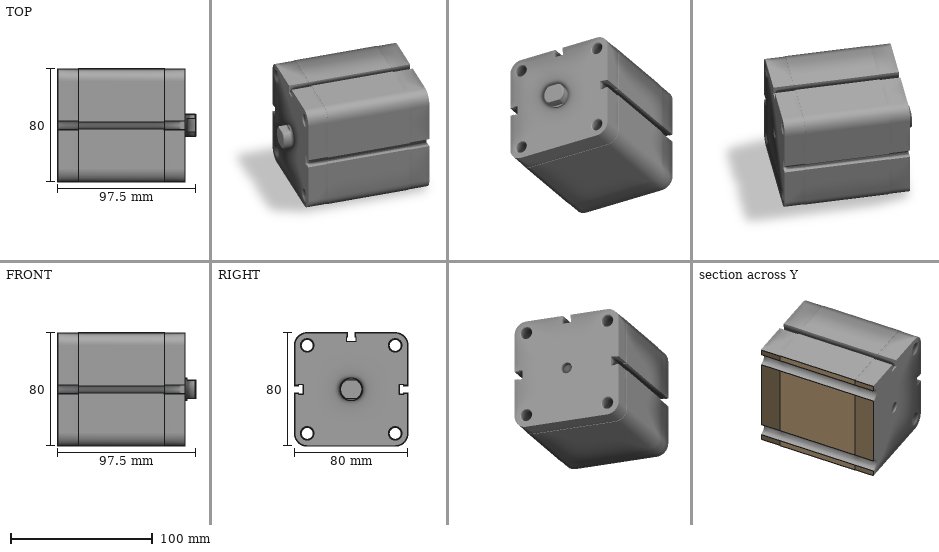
import cadquery as cq

overall_length = 97.5
cap_length = 14.7
rod_projection = 7.5
front_face_x = overall_length - rod_projection
barrel_length = front_face_x - 2 * cap_length

barrel_side = 80.0
cap_inset = 0.25
cap_side = barrel_side - 2 * cap_inset
bolt_spacing = 62.0
barrel_corner_radius = (barrel_side - bolt_spacing) / 2
cap_corner_radius = barrel_corner_radius - cap_inset

bolt_hole_diameter = 8.5
bolt_hole_chamfer = 0.5

barrel_slot_opening = 5.1
cap_slot_opening = 5.85
slot_cavity_width = 6.6
slot_lip_depth = 3.0
slot_depth = 6.1
slot_roll_angles = (-90, 0, 90)

centring_hole_diameter = 8.0
centring_hole_depth = 4.0

rod_diameter = 16.0
rod_tip_chamfer = 0.5
flat_spacing = 13.0
flat_length = 6.2


def square_block(start_x, length, side, corner_radius):
    """Square bar along X with rounded long edges."""
    block = cq.Workplane("YZ", origin=(start_x, 0, 0)).rect(side, side).extrude(length)
    return block.edges("|X").fillet(corner_radius)


def slot_cutter(start_x, length, opening_width):
    """Stepped slot on the +Z side: an opening between two lips over a wider cavity."""
    plane = cq.Workplane("YZ", origin=(start_x, 0, 0))
    surface_z = barrel_side / 2
    cavity_height = slot_depth - slot_lip_depth
    cavity_z = surface_z - slot_depth + cavity_height / 2
    opening = plane.center(0, surface_z - slot_depth / 2).rect(opening_width, slot_depth).extrude(length)
    cavity = plane.center(0, cavity_z).rect(slot_cavity_width, cavity_height).extrude(length)
    return opening.union(cavity)


def cut_slots(body, start_x, length, opening_width):
    cutter = slot_cutter(start_x, length, opening_width)
    for angle in slot_roll_angles:
        body = body.cut(cutter.rotate((0, 0, 0), (1, 0, 0), angle))
    return body


def cut_bolt_holes(body, start_x, length):
    holes = (
        cq.Workplane("YZ", origin=(start_x, 0, 0))
        .rect(bolt_spacing, bolt_spacing, forConstruction=True)
        .vertices()
        .circle(bolt_hole_diameter / 2)
        .extrude(length)
    )
    return body.cut(holes)


def make_barrel():
    barrel = square_block(cap_length, barrel_length, barrel_side, barrel_corner_radius)
    barrel = cut_slots(barrel, cap_length, barrel_length, barrel_slot_opening)
    return cut_bolt_holes(barrel, cap_length, barrel_length)


def make_cap(start_x, outer_face):
    """End cap whose bolt holes are chamfered at the outer face."""
    cap = square_block(start_x, cap_length, cap_side, cap_corner_radius)
    cap = cut_bolt_holes(cap, start_x, cap_length)
    outer_rims = cap.faces(outer_face).edges("%CIRCLE").edges(cq.selectors.RadiusNthSelector(0))
    cap = outer_rims.chamfer(bolt_hole_chamfer)
    return cut_slots(cap, start_x, cap_length, cap_slot_opening)


def make_rear_cap():
    centring_hole = cq.Workplane("YZ").circle(centring_hole_diameter / 2).extrude(centring_hole_depth)
    return make_cap(0, "<X").cut(centring_hole)


def make_front_cap():
    return make_cap(front_face_x - cap_length, ">X")


def make_rod():
    """Rod end standing on the outer face of the front cap."""
    rod = cq.Workplane("YZ", origin=(front_face_x, 0, 0)).circle(rod_diameter / 2).extrude(rod_projection)
    rod = rod.faces(">X").chamfer(rod_tip_chamfer)
    between_flats = (
        cq.Workplane("YZ", origin=(overall_length - flat_length, 0, 0))
        .rect(rod_diameter, flat_spacing)
        .extrude(flat_length)
    )
    shank = (
        cq.Workplane("YZ", origin=(front_face_x, 0, 0))
        .rect(rod_diameter, rod_diameter)
        .extrude(rod_projection - flat_length)
    )
    return rod.intersect(between_flats.union(shank))


barrel = make_barrel()
rear_cap = make_rear_cap()
front_cap = make_front_cap()
rod = make_rod()

bodies = [barrel, rear_cap, front_cap, rod]
result = cq.Compound.makeCompound([body.solids().val() for body in bodies])